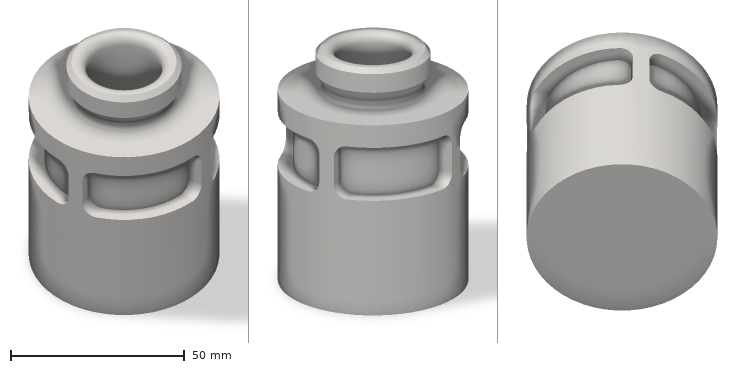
import cadquery as cq
import math

TOTAL_HEIGHT = 72.2
BODY_DIAMETER = 55.0
NECK_HEIGHT = 13.0
BODY_HEIGHT = TOTAL_HEIGHT - NECK_HEIGHT
FLANGE_THICKNESS = 7.0

COLLAR_DIAMETER = 33.25
COLLAR_CHAMFER = 1.5
COLLAR_LOWER_EDGE_DEPTH = 7.3
TAPER_ANGLE = 30.0
GROOVE_DIAMETER = 29.3
GROOVE_UPPER_FILLET = 1.5
GROOVE_LOWER_FILLET = 1.2

BORE_DIAMETER = 22.0
BORE_MOUTH_RADIUS = 3.0
BORE_DEPTH = NECK_HEIGHT + FLANGE_THICKNESS

WINDOW_COUNT = 4
WINDOW_HEIGHT = 16.5
WINDOW_BOTTOM = BODY_HEIGHT - FLANGE_THICKNESS - WINDOW_HEIGHT
WINDOW_CORNER_RADIUS = 4.0
WINDOW_FLOOR_DIAMETER = 46.0
WINDOW_ANGLE = 80.0
CUTTER_CLEARANCE = 1.0
CUTTER_RADIUS = BODY_DIAMETER / 2 + CUTTER_CLEARANCE


def make_body():
    return cq.Workplane("XY").circle(BODY_DIAMETER / 2).extrude(BODY_HEIGHT)


def make_neck():
    """Revolve the neck profile, with both groove fillets drawn as tangent arcs."""
    collar_radius = COLLAR_DIAMETER / 2
    groove_radius = GROOVE_DIAMETER / 2
    taper = math.radians(TAPER_ANGLE)
    collar_lower_edge = TOTAL_HEIGHT - COLLAR_LOWER_EDGE_DEPTH

    taper_end = collar_lower_edge - (collar_radius - groove_radius) / math.tan(taper)
    tangent_length = GROOVE_UPPER_FILLET * math.tan(taper / 2)
    upper_arc_bottom = taper_end - tangent_length
    upper_arc_center_r = groove_radius + GROOVE_UPPER_FILLET

    def upper_arc_point(angle):
        return (
            upper_arc_center_r - GROOVE_UPPER_FILLET * math.cos(angle),
            upper_arc_bottom + GROOVE_UPPER_FILLET * math.sin(angle),
        )

    half_way = math.pi / 4
    lower_arc_middle = (
        groove_radius + GROOVE_LOWER_FILLET * (1 - math.cos(half_way)),
        BODY_HEIGHT + GROOVE_LOWER_FILLET * (1 - math.sin(half_way)),
    )
    lower_arc_top = (groove_radius, BODY_HEIGHT + GROOVE_LOWER_FILLET)

    profile = (
        cq.Workplane("XZ")
        .moveTo(0, BODY_HEIGHT)
        .lineTo(groove_radius + GROOVE_LOWER_FILLET, BODY_HEIGHT)
        .threePointArc(lower_arc_middle, lower_arc_top)
        .lineTo(groove_radius, upper_arc_bottom)
        .threePointArc(upper_arc_point(taper / 2), upper_arc_point(taper))
        .lineTo(collar_radius, collar_lower_edge)
        .lineTo(collar_radius, TOTAL_HEIGHT - COLLAR_CHAMFER)
        .lineTo(collar_radius - COLLAR_CHAMFER, TOTAL_HEIGHT)
        .lineTo(0, TOTAL_HEIGHT)
        .close()
    )
    return profile.revolve(360, (0, 0), (0, 1))


def cut_bore(part):
    bored = part.faces(">Z").workplane().hole(BORE_DIAMETER, BORE_DEPTH)
    smallest_circle = cq.selectors.RadiusNthSelector(0)
    return bored.faces(">Z").edges(smallest_circle).fillet(BORE_MOUTH_RADIUS)


def make_window_cutter():
    """Ring sector starting at the +X axis, with radial sides and four rounded corners."""
    sector = (
        cq.Workplane("XZ")
        .moveTo(WINDOW_FLOOR_DIAMETER / 2, WINDOW_BOTTOM)
        .lineTo(CUTTER_RADIUS, WINDOW_BOTTOM)
        .lineTo(CUTTER_RADIUS, WINDOW_BOTTOM + WINDOW_HEIGHT)
        .lineTo(WINDOW_FLOOR_DIAMETER / 2, WINDOW_BOTTOM + WINDOW_HEIGHT)
        .close()
        .revolve(WINDOW_ANGLE, (0, 0), (0, 1))
    )
    corner_edges = sector.edges("#Z").edges("%LINE")
    return corner_edges.fillet(WINDOW_CORNER_RADIUS)


def cut_windows(part):
    cutter = make_window_cutter()
    pitch = 360 / WINDOW_COUNT
    half_rib_angle = (pitch - WINDOW_ANGLE) / 2
    for index in range(WINDOW_COUNT):
        start_angle = index * pitch + half_rib_angle
        part = part.cut(cutter.rotate((0, 0, 0), (0, 0, 1), start_angle))
    return part


result = cut_windows(cut_bore(make_body().union(make_neck())))